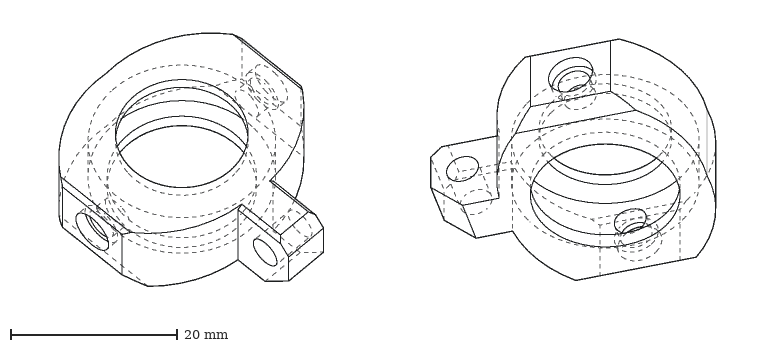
import cadquery as cq
import math

total_length = 33.8
body_depth = 30.8
height = 11.0
body_left_width = 12.8
body_right_width = 12.5
lug_tip_x = total_length - body_left_width

flat_half_length = 5.0
side_arc_center_y = 1.4
body_half_depth = body_depth / 2

small_chamfer = 0.6
body_bottom_chamfer = 2.0
lug_top_chamfer = 2.0
lug_bottom_chamfer = 4.0

top_bore_diameter = 16.0
recess_diameter = 22.6
bottom_bore_diameter = 18.0
top_lip_thickness = 1.62
bottom_lip_thickness = 2.0

hole_diameter = 4.0
hole_z = 6.0
counterbore_diameter = 5.5
counterbore_depth = 1.6

lug_width = 6.0
lug_hole_x = 17.0


def cylinder_z(diameter, bottom, top):
    return cq.Workplane("XY").workplane(offset=bottom).circle(diameter / 2).extrude(top - bottom)


def cylinder_y(diameter, x, y_min, y_max):
    plane = cq.Plane(origin=(x, y_min, hole_z), xDir=(1, 0, 0), normal=(0, 1, 0))
    return cq.Workplane(plane).circle(diameter / 2).extrude(y_max - y_min)


def end_profile(half_width, top_chamfer, bottom_chamfer):
    """Symmetric Y-Z profile with chamfered corners, extruded along the whole part."""
    half_points = [
        (half_width, bottom_chamfer),
        (half_width, height - top_chamfer),
        (half_width - top_chamfer, height),
    ]
    if bottom_chamfer > 0:
        half_points.insert(0, (half_width - bottom_chamfer, 0))
    mirrored = [(-y, z) for y, z in reversed(half_points)]
    profile = cq.Workplane("YZ").workplane(offset=-body_left_width)
    return profile.polyline(half_points + mirrored).close().extrude(total_length)


def side_seam_x(side_width):
    """Distance from the bore axis at which the two arcs of one side meet at y = 0.

    Each arc bulges to side_width and passes through the end of a flat.
    """
    rise = body_half_depth - side_arc_center_y
    inset = side_width - flat_half_length
    radius = (rise**2 + inset**2) / (2 * inset)
    return side_width - radius + math.sqrt(radius**2 - side_arc_center_y**2)


def make_body():
    right_seam = (side_seam_x(body_right_width), 0)
    left_seam = (-side_seam_x(body_left_width), 0)
    outline = (
        cq.Workplane("XY")
        .moveTo(*right_seam)
        .threePointArc((body_right_width, side_arc_center_y), (flat_half_length, body_half_depth))
        .lineTo(-flat_half_length, body_half_depth)
        .threePointArc((-body_left_width, side_arc_center_y), left_seam)
        .threePointArc((-body_left_width, -side_arc_center_y), (-flat_half_length, -body_half_depth))
        .lineTo(flat_half_length, -body_half_depth)
        .threePointArc((body_right_width, -side_arc_center_y), right_seam)
        .close()
    )
    return outline.extrude(height).intersect(
        end_profile(body_half_depth, small_chamfer, body_bottom_chamfer)
    )


def make_lug():
    side_points = [
        (0, 0),
        (lug_tip_x - lug_bottom_chamfer, 0),
        (lug_tip_x, lug_bottom_chamfer),
        (lug_tip_x, height - lug_top_chamfer),
        (lug_tip_x - lug_top_chamfer, height),
        (0, height),
    ]
    side = cq.Workplane("XZ").polyline(side_points).close().extrude(lug_width / 2, both=True)
    return side.intersect(end_profile(lug_width / 2, small_chamfer, 0))


def cut_bore(part):
    recess_top = height - top_lip_thickness
    part = part.cut(cylinder_z(bottom_bore_diameter, 0, bottom_lip_thickness))
    part = part.cut(cylinder_z(recess_diameter, bottom_lip_thickness, recess_top))
    return part.cut(cylinder_z(top_bore_diameter, recess_top, height))


def cut_cross_holes(part):
    part = part.cut(cylinder_y(hole_diameter, 0, -body_half_depth, body_half_depth))
    counterbore_floor = body_half_depth - counterbore_depth
    part = part.cut(cylinder_y(counterbore_diameter, 0, -body_half_depth, -counterbore_floor))
    part = part.cut(cylinder_y(counterbore_diameter, 0, counterbore_floor, body_half_depth))
    return part.cut(cylinder_y(hole_diameter, lug_hole_x, -lug_width / 2, lug_width / 2))


result = cut_cross_holes(cut_bore(make_body().union(make_lug())))